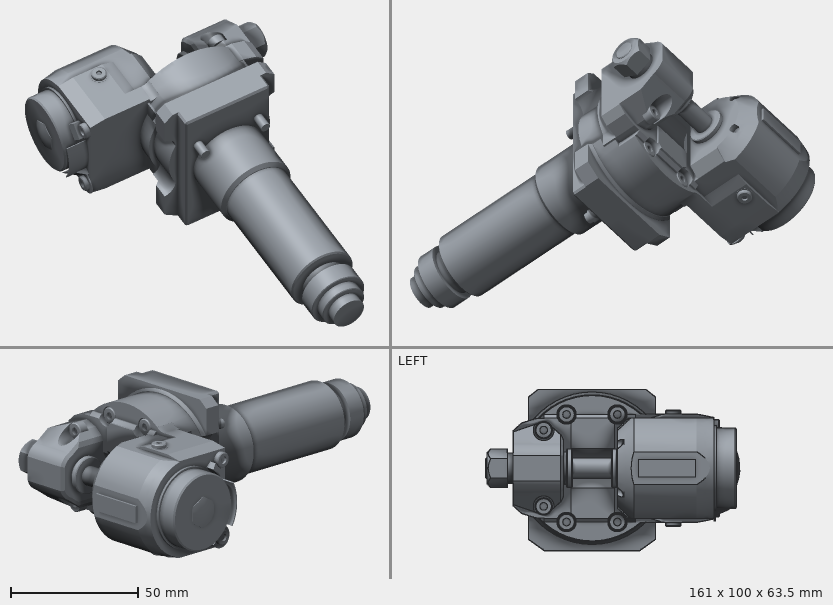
import cadquery as cq
import math



def x_cylinder(radius, x_from, x_to, y=0.0, z=0.0):
    return cq.Workplane("YZ", origin=(x_from, y, z)).circle(radius).extrude(x_to - x_from)


def y_cylinder(radius, y_from, y_to, x=0.0, z=0.0):
    low, high = min(y_from, y_to), max(y_from, y_to)
    return cq.Workplane("XZ", origin=(x, high, z)).circle(radius).extrude(high - low)


def z_cylinder(radius, z_from, z_to, x=0.0, y=0.0):
    return cq.Workplane("XY", origin=(x, y, z_from)).circle(radius).extrude(z_to - z_from)


def block(x_range, y_range, z_range):
    ranges = (x_range, y_range, z_range)
    size = [high - low for low, high in ranges]
    low_corner = tuple(low for low, high in ranges)
    return cq.Workplane("XY").box(*size, centered=False).translate(low_corner)


def symmetric(half):
    return (-half, half)


def mirrored_in_z(solid):
    return solid.union(solid.mirror("XY"))


def mirrored_outline(upper):
    """Closed outline of (y, z) points, the same above and below z = 0."""
    return upper + [(y, -z) for y, z in reversed(upper)]


def yz_prism(outline, x_from, x_to):
    sketch = cq.Workplane("YZ", origin=(x_from, 0, 0)).polyline(outline).close()
    return sketch.extrude(x_to - x_from)


plate_front_x = 32.5
plate_step_x = 39.1
plate_back_x = 45.75
plate_half_width = 25.0
plate_top_z = 31.0
plate_bottom_z = -32.5
plate_top_corner = (3.7, 3.0)
plate_bottom_corner = (6.3, 4.5)
tongue_half_width = 19.2
tongue_chamfer = 0.8

shank_steps = [
    (15.8, 68.7, 1.4),
    (14.0, 119.2, 0.6),
    (8.6, 119.8, 0.0),
    (9.5, 123.7, 0.0),
    (12.0, 131.4, 0.3),
    (9.5, 135.5, 0.3),
    (6.9, 139.6, 0.0),
]

body_radius = 28.6
body_front_x = 13.3
body_neck_x = 31.3
body_neck_radius = 30.0
body_neck_chamfer = 1.1
seat_back_x = 21.6
head_seat_y = -17.1
arm_seat_y = 18.9

shoulder_x = (20.5, 27.3)
shoulder_half_height = 19.3
shoulder_bulge_radius = 25.3
shoulder_bulge_half_height = 12.6
waist_radius = 23.0
waist_half_height = 11.2
bolt_pocket_radius = 5.7

face_block_x = 10.2
face_block_half_height = 19.7
face_block_y = (-8.8, 8.2)
face_slab_x = 11.1
face_slab_half_height = 21.15
cutter_clearance_radius = 12.8

head_radius = 21.4
head_flat_x = -20.4
head_flat_z = 19.8
head_back_x = 20.5
head_inner_y = -10.1
head_inner_radius = 15.5
head_inner_cone_y = -16.5
head_taper_y = -41.3
head_outer_y = -48.0
head_taper = 1.3
cheek_x = -4.3
cheek_z = 21.3
cheek_ramp_y = (-23.1, -28.0)
cheek_chamfer = 4.5
cheek_inner_z = 15.8
seat_fillet_top_z = 22.9
seat_fillet_middle = (-18.8, 21.7)
seat_fillet_end_y = -21.1
head_relief_x = 9.4
port_x = -12.6
port_z = 9.5
port_radius = 1.8
port_depth = 2.5

pad_x = -21.4
pad_y = (-40.8, -18.3)
pad_half_height = 3.5

cap_radius = 15.9
cap_y = -56.9
cap_rim_radius = 16.8
cap_rim_y = -49.0
cap_chamfer = 0.6
dome_height = 1.3
dome_hexagon_across_corners = 13.2
shroud_radius = 19.0
shroud_wall = 0.5
shroud_y = -56.6
shroud_top_angle = 27.0
shroud_bottom_angle = -30.0
clip_plate_thickness = 0.5
clip_screw_x = 17.75
clip_screw_z = 16.0
clip_lug_radius = 4.8
clip_angle = 42.5
clip_inner_distance = 17.3

arm_nose_x = -11.1
arm_back_x = 11.1
arm_y = (11.2, 31.0)
arm_nose_half_height = 5.0
arm_shoulder = (-6.7, 9.7)
arm_root_z = 21.9
arm_inner_chamfer = 1.2
arm_shoulder_bend = (-9.6, 7.6)
arm_face_edge = [(arm_y[1], 14.3), (20.5, 17.9), (15.5, 16.0), (arm_y[0], 12.3)]
arm_base_edge = [(arm_y[1], 14.8), (27.7, 17.8), (22.0, 19.6), (8.2, 19.6)]
arm_base_back_x = 20.5
arm_screw_y = 19.0
arm_screw_z = 15.0
arm_screw_front_x = 3.0
arm_pocket_radius = 4.1
arm_pocket_floor_x = 6.9

spindle_radius = 3.95
collar_radius = 7.6
collar_inner_y = 7.7
collar_rim_y = 10.0
collar_hub_radius = 6.3
nut_across_flats = 13.2
nut_y = (33.3, 41.3)
nut_washer_radius = 6.0
nut_chamfer = 1.5
spindle_end_y = 41.8
spindle_end_radius = 4.0

edge_break = 0.35
cap_screw_radius = 3.4
cap_screw_bore = 1.5
face_screw_y = 10.0
face_screw_z = 21.15
face_screw_head_x = 13.2
face_counterbore_radius = 3.8
face_counterbore_x = 14.5


def make_plate():
    half = plate_half_width
    top_dy, top_dz = plate_top_corner
    bottom_dy, bottom_dz = plate_bottom_corner
    right_edge = [
        (half - bottom_dy, plate_bottom_z),
        (half, plate_bottom_z + bottom_dz),
        (half, plate_top_z - top_dz),
        (half - top_dy, plate_top_z),
    ]
    outline = right_edge + [(-y, z) for y, z in reversed(right_edge)]
    plate = yz_prism(outline, plate_front_x, plate_step_x)
    tongue = block(
        (plate_step_x, plate_back_x), symmetric(tongue_half_width), (plate_bottom_z, plate_top_z)
    )
    tongue = tongue.edges("|X").chamfer(tongue_chamfer)
    tongue = tongue.faces(">X").chamfer(tongue_chamfer)
    return plate.union(tongue)


def make_shank():
    shank = None
    start = plate_step_x
    for radius, end, chamfer in shank_steps:
        step = x_cylinder(radius, start, end)
        if chamfer:
            step = step.faces(">X").edges().chamfer(chamfer)
        shank = step if shank is None else shank.union(step)
        start = end
    return shank


def make_plate_pins():
    pin_radius = 2.0
    pin_y = 13.7
    pin_z = 15.0
    pin_end_x = 51.7
    locator_radius = 2.85
    locator_tip_radius = 2.3
    locator_z = -23.0
    locator_tip_x = 53.6
    pins = x_cylinder(locator_radius, plate_step_x, pin_end_x, 0, locator_z)
    pins = pins.union(x_cylinder(locator_tip_radius, pin_end_x, locator_tip_x, 0, locator_z))
    for y in symmetric(pin_y):
        pins = pins.union(x_cylinder(pin_radius, plate_step_x, pin_end_x, y, pin_z))
    return pins


def make_body():
    body = x_cylinder(body_radius, body_front_x, plate_front_x)
    neck = x_cylinder(body_neck_radius, body_neck_x, plate_front_x)
    body = body.union(neck.faces("<X").edges().chamfer(body_neck_chamfer))
    wide = symmetric(2 * body_radius)
    body = body.cut(block((0, seat_back_x), (-2 * body_radius, head_seat_y), wide))
    return body.cut(block((0, seat_back_x), (arm_seat_y, 2 * body_radius), wide))


def make_side_relief():
    """Gap on both sides of the body that clears the mounting bolts, rounded out at its ends."""
    length = (shoulder_x[0], plate_step_x)
    outer_y = 2 * body_radius
    waist_edge_y = math.sqrt(waist_radius**2 - waist_half_height**2)
    round_y = waist_edge_y + bolt_pocket_radius
    end_z = waist_half_height + bolt_pocket_radius

    relief = block(length, symmetric(outer_y), symmetric(waist_half_height))
    relief = relief.cut(x_cylinder(waist_radius, *length))
    for side in (-1, 1):
        rounded = x_cylinder(bolt_pocket_radius, *length, side * round_y, waist_half_height)
        open_y = tuple(sorted((side * round_y, side * outer_y)))
        rounded = rounded.union(block(length, open_y, (waist_half_height, end_z)))
        rounded = rounded.intersect(block(length, symmetric(outer_y), (waist_half_height, end_z)))
        relief = relief.union(mirrored_in_z(rounded))
    return relief


def add_shoulders(solid):
    """Side shoulders: round in the middle, with flats above and below the round part."""
    bulge_z = symmetric(shoulder_bulge_half_height)
    shoulder_z = symmetric(shoulder_half_height)
    flat_y = math.sqrt(shoulder_bulge_radius**2 - shoulder_bulge_half_height**2)
    bulge = x_cylinder(shoulder_bulge_radius, *shoulder_x)
    bulge = bulge.intersect(block(shoulder_x, symmetric(shoulder_bulge_radius), bulge_z))
    flats = block(shoulder_x, symmetric(flat_y), shoulder_z)
    outside = block(shoulder_x, symmetric(body_radius), shoulder_z).cut(flats)
    return solid.cut(outside).union(flats).union(bulge)


def make_face_block():
    depth = body_front_x + 1
    slab = block((face_slab_x, depth), (head_seat_y, arm_seat_y), symmetric(face_slab_half_height))
    slab = slab.edges("<X and |Y").chamfer(face_slab_half_height - face_block_half_height)
    return slab.union(block((face_block_x, depth), face_block_y, symmetric(face_block_half_height)))


def make_head():
    profile = [
        (0, head_inner_y),
        (head_inner_radius, head_inner_y),
        (head_radius, head_inner_cone_y),
        (head_radius, head_taper_y),
        (head_radius - head_taper, head_outer_y),
        (0, head_outer_y),
    ]
    drum = cq.Workplane("XY").polyline(profile).close().revolve(360, (0, 0, 0), (0, 1, 0))
    depth = (head_outer_y, head_inner_y)
    drum = drum.intersect(block((head_flat_x, head_radius), depth, symmetric(head_flat_z)))
    drum = drum.intersect(block((head_flat_x, body_front_x), depth, symmetric(head_radius)))

    head = drum.union(make_cheeks()).union(make_seat_fillet())
    relief_y = (head_inner_y - cheek_chamfer, head_inner_y)
    head = head.cut(block((head_relief_x, body_front_x), relief_y, symmetric(head_radius)))
    for z in symmetric(port_z):
        head = head.cut(y_cylinder(port_radius, head_inner_y, head_inner_y - port_depth, port_x, z))
    return head


def make_cheeks():
    """Flat top and bottom of the head, tapered towards the end cap and stepped near the body."""
    tapered_end = [(head_taper_y, cheek_z), (head_outer_y, cheek_z - head_taper)]
    ramp_start_y, ramp_end_y = cheek_ramp_y
    inner_end = [
        (head_inner_y, cheek_inner_z),
        (head_inner_y - cheek_chamfer, head_flat_z),
        (ramp_start_y, head_flat_z),
        (ramp_end_y, cheek_z),
    ]
    seat_end = [(head_seat_y, cheek_z)]
    front = yz_prism(mirrored_outline(inner_end + tapered_end), cheek_x, body_front_x)
    back = yz_prism(mirrored_outline(seat_end + tapered_end), body_front_x, head_back_x)
    return front.union(back)


def make_seat_fillet():
    """Concave transition from the top and bottom of the head up to the round body."""
    fillet = (
        cq.Workplane("YZ", origin=(body_front_x, 0, 0))
        .moveTo(head_seat_y, 0)
        .lineTo(head_seat_y, seat_fillet_top_z)
        .threePointArc(seat_fillet_middle, (seat_fillet_end_y, cheek_z))
        .lineTo(seat_fillet_end_y, 0)
        .close()
        .extrude(seat_back_x - body_front_x)
    )
    return mirrored_in_z(fillet)


def make_head_screws():
    """Button-head screws in the top and bottom of the head."""
    radius = 3.0
    top_z = 22.9
    y = -32.0
    flange_radius = 3.5
    flange_top_z = 21.4
    socket_radius = 1.2
    socket_depth = 1.0
    head = z_cylinder(radius, cheek_z - 1, top_z, 0, y).faces(">Z").edges().chamfer(edge_break)
    head = head.union(z_cylinder(flange_radius, head_flat_z - 1, flange_top_z, 0, y))
    head = head.cut(z_cylinder(socket_radius, top_z - socket_depth, top_z, 0, y))
    return mirrored_in_z(head)


def make_pad():
    """Raised pad on the flat nose of the head."""
    return block((pad_x, head_flat_x + 1), pad_y, symmetric(pad_half_height))


def make_cap():
    cap = y_cylinder(cap_radius, head_outer_y, cap_y).faces("<Y").edges().chamfer(cap_chamfer)
    rim = y_cylinder(cap_rim_radius, head_outer_y, cap_rim_y)
    half_corner = dome_hexagon_across_corners / 2
    dome_radius = (half_corner**2 + dome_height**2) / (2 * dome_height)
    ball = cq.Workplane("XY").sphere(dome_radius).translate((0, cap_y - dome_height + dome_radius, 0))
    hexagon = (
        cq.Workplane("XZ", origin=(0, cap_y, 0))
        .transformed(rotate=(0, 0, 90))
        .polygon(6, dome_hexagon_across_corners)
        .extrude(2 * dome_height)
    )
    return cap.union(rim).union(hexagon.intersect(ball))


def make_shroud():
    """Thin curved guard around the drive side of the end cap."""
    reach = 2 * shroud_radius

    def ray(angle):
        return (reach * math.cos(math.radians(angle)), reach * math.sin(math.radians(angle)))

    ring = y_cylinder(shroud_radius, head_outer_y, shroud_y)
    ring = ring.cut(y_cylinder(shroud_radius - shroud_wall, head_outer_y, shroud_y))
    wedge = (
        cq.Workplane("XZ", origin=(0, head_outer_y, 0))
        .polyline([(0, 0), ray(shroud_bottom_angle), ray(shroud_top_angle)])
        .close()
        .extrude(head_outer_y - shroud_y)
    )
    return ring.intersect(wedge)


def make_clip(angle, width, thickness, tip_y, back_y):
    """Tangential bar beside the end cap, higher on the side that faces the cap."""
    inner = clip_inner_distance
    outer = inner + thickness
    profile = [(inner, head_outer_y), (outer, head_outer_y), (outer, back_y), (inner, tip_y)]
    bar = cq.Workplane("XY", origin=(0, 0, -width / 2)).polyline(profile).close().extrude(width)
    return bar.rotate((0, 0, 0), (0, 1, 0), -angle)


def make_clip_screw(z):
    radius = 3.1
    top_y = -50.2
    socket_depth = 1.0
    screw = y_cylinder(radius, head_outer_y, top_y, clip_screw_x, z).faces("<Y").edges().chamfer(edge_break)
    return screw.cut(y_cylinder(cap_screw_bore, top_y, top_y + socket_depth, clip_screw_x, z))


def make_clips():
    """Clips at both ends of the guard, each held by a small cap screw."""
    upper_clip = make_clip(clip_angle, width=6.8, thickness=2.8, tip_y=-52.0, back_y=-51.0)
    lower_clip = make_clip(-clip_angle, width=12.2, thickness=3.3, tip_y=-54.0, back_y=-48.7)
    clips = upper_clip.union(lower_clip)

    lug_y = head_outer_y - clip_plate_thickness
    lug_end = math.hypot(clip_screw_x, clip_screw_z)
    lug = block((clip_inner_distance, lug_end), (lug_y, head_outer_y), symmetric(clip_lug_radius))
    lug = lug.rotate((0, 0, 0), (0, 1, 0), clip_angle)
    lug = lug.union(y_cylinder(clip_lug_radius, head_outer_y, lug_y, clip_screw_x, -clip_screw_z))
    return clips.union(lug).union(make_clip_screw(clip_screw_z)).union(make_clip_screw(-clip_screw_z))


def make_arm():
    corner_x, corner_z = arm_shoulder
    bend_x, bend_z = arm_shoulder_bend
    side = (
        cq.Workplane("XZ", origin=(0, arm_y[1], 0))
        .moveTo(arm_back_x, -arm_root_z)
        .lineTo(corner_x, -corner_z)
        .threePointArc((bend_x, -bend_z), (arm_nose_x, -arm_nose_half_height))
        .lineTo(arm_nose_x, arm_nose_half_height)
        .threePointArc(arm_shoulder_bend, (corner_x, corner_z))
        .lineTo(arm_back_x, arm_root_z)
        .close()
        .extrude(arm_y[1] - arm_y[0])
    )
    face = yz_prism(mirrored_outline(arm_face_edge), arm_nose_x, arm_back_x)
    arm = side.intersect(face)
    arm = arm.faces("<Y").edges("not >X").chamfer(arm_inner_chamfer)
    for z in (-arm_screw_z, arm_screw_z):
        pocket = x_cylinder(arm_pocket_radius, arm_nose_x, arm_pocket_floor_x, arm_screw_y, z)
        arm = arm.cut(pocket)
        arm = arm.union(cap_screw(cap_screw_radius, arm_screw_front_x, arm_pocket_floor_x, arm_screw_y, z))
    return arm


def make_arm_base():
    return yz_prism(mirrored_outline(arm_base_edge), arm_back_x, arm_base_back_x)


def make_spindle():
    spindle = y_cylinder(spindle_radius, head_inner_y - 1, arm_y[1])
    for direction, seat_y in ((1, arm_y[0]), (-1, head_inner_y)):
        rim = y_cylinder(collar_radius, direction * collar_inner_y, direction * collar_rim_y)
        rim = rim.edges().chamfer(edge_break)
        hub = y_cylinder(collar_hub_radius, direction * collar_rim_y, seat_y)
        spindle = spindle.union(rim).union(hub)
    return spindle


def make_nut():
    start, end = nut_y
    corner_radius = nut_across_flats / math.sqrt(3)
    nut = (
        cq.Workplane("XZ", origin=(0, end, 0))
        .transformed(rotate=(0, 0, 90))
        .polygon(6, 2 * corner_radius)
        .extrude(end - start)
    )
    rounding = y_cylinder(corner_radius, start, end).faces(">Y").edges().chamfer(nut_chamfer)
    nut = nut.intersect(rounding)
    nut = nut.union(y_cylinder(nut_washer_radius, arm_y[1], start))
    tip = y_cylinder(spindle_end_radius, end, spindle_end_y).faces(">Y").edges().chamfer(edge_break)
    return nut.union(tip)


def cap_screw(radius, front_x, back_x, y, z):
    socket_depth = 1.5
    screw = x_cylinder(radius, front_x, back_x, y, z)
    screw = screw.faces("<X").edges().chamfer(edge_break)
    return screw.cut(x_cylinder(cap_screw_bore, front_x, front_x + socket_depth, y, z))


def add_face_screws(solid):
    """Counterbore the face and seat a cap screw in each of the four places."""
    for y in symmetric(face_screw_y):
        for z in symmetric(face_screw_z):
            solid = solid.cut(x_cylinder(face_counterbore_radius, head_relief_x, face_counterbore_x, y, z))
            screw = cap_screw(cap_screw_radius, face_screw_head_x, face_counterbore_x + 1, y, z)
            solid = solid.union(screw)
    return solid


body = make_body().union(make_plate()).cut(make_side_relief())
body = add_shoulders(body).union(make_shank()).union(make_plate_pins())
body = body.union(make_face_block()).union(make_arm_base())
body = body.cut(y_cylinder(cutter_clearance_radius, head_inner_y, arm_y[0]))
body = add_face_screws(body)

head = make_head().union(make_head_screws()).union(make_pad())
head = head.union(make_cap()).union(make_shroud()).union(make_clips())

result = body.union(head).union(make_arm()).union(make_spindle()).union(make_nut())